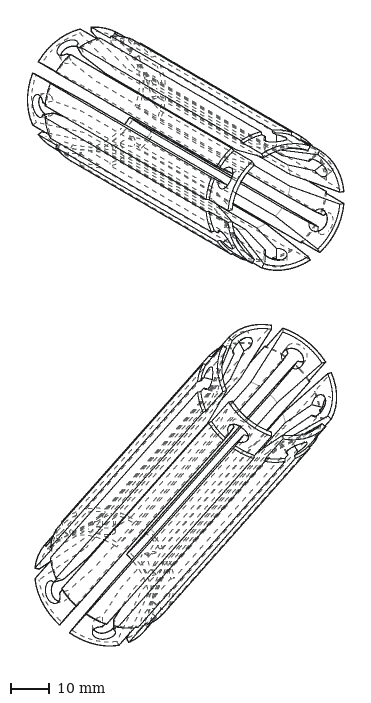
import cadquery as cq

length = 110.4
body_radius = 17.7
bore_radius = 11.5

end_radius = 17.0
end_length = 10.3
shoulder_run = 0.5
mouth_radius = 15.8
mouth_depth = 19.2

slots_per_end = 6
slot_width = 3.2
hole_diameter = 6.0
hole_inset = 5.8

slot_pitch = 360.0 / slots_per_end
reach = 2 * body_radius


def sleeve():
    """Revolved wall: stepped outside, cylindrical bore with a conical mouth at each end."""
    shoulder_end = end_length + shoulder_run
    profile = [
        (0, mouth_radius),
        (0, end_radius),
        (end_length, end_radius),
        (shoulder_end, body_radius),
        (length - shoulder_end, body_radius),
        (length - end_length, end_radius),
        (length, end_radius),
        (length, mouth_radius),
        (length - mouth_depth, bore_radius),
        (mouth_depth, bore_radius),
    ]
    return cq.Workplane("XY").polyline(profile).close().revolve(360, (0, 0, 0), (1, 0, 0))


def keyhole_slot():
    """Cutter along +Y: relief hole near X = 0 and a slot from it out through the far end."""
    slot = cq.Workplane("XY").box(length, reach, slot_width, centered=(False, False, True))
    slot = slot.translate((hole_inset, 0, 0))
    hole = (
        cq.Workplane("XZ", origin=(hole_inset, 0, 0))
        .circle(hole_diameter / 2)
        .extrude(-reach)
    )
    return slot.union(hole)


axis_start = (0, 0, 0)
axis_end = (1, 0, 0)
slot_near = keyhole_slot()
slot_far = slot_near.mirror("YZ").translate((length, 0, 0))

result = sleeve()
for i in range(slots_per_end):
    angle = i * slot_pitch
    result = result.cut(slot_near.rotate(axis_start, axis_end, angle))
    result = result.cut(slot_far.rotate(axis_start, axis_end, angle + slot_pitch / 2))